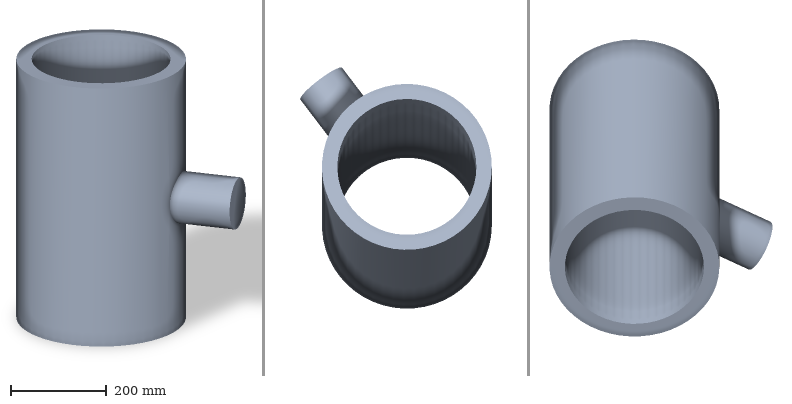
import cadquery as cq

pipe_height = 575.0
pipe_diameter = 355.0
bore_diameter = 290.5

overall_length = 477.0
branch_diameter = 110.0
branch_reach = overall_length - pipe_diameter / 2


def cylinder_along_z(diameter):
    return cq.Workplane("XY").circle(diameter / 2).extrude(pipe_height)


def side_branch():
    middle = cq.Workplane("YZ", origin=(0, 0, pipe_height / 2))
    return middle.circle(branch_diameter / 2).extrude(branch_reach)


result = cylinder_along_z(pipe_diameter).union(side_branch()).cut(cylinder_along_z(bore_diameter))